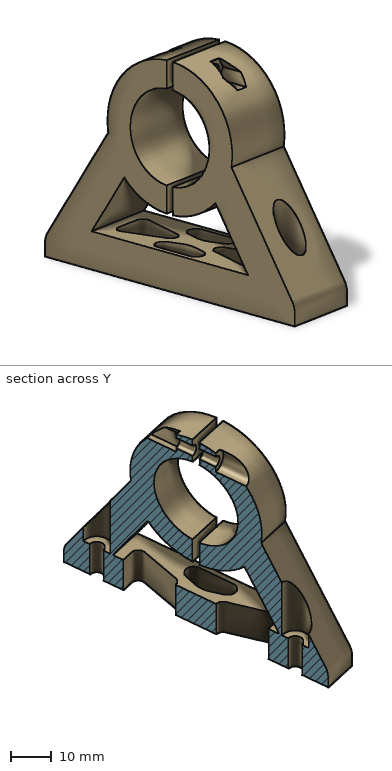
import cadquery as cq
import math

length = 80.0
depth = 20.0
base_thickness = 10.0
leg_thickness = 10.0

ring_radius = 20.0
bore_radius = 12.6
ring_center_z = 40.0
split_gap = 2.0

leg_foot_z = 5.1
leg_shoulder_z = 36.5
foot_fillet = 5.0

mount_spacing = 60.0
mount_diameter = 4.0
mount_head_diameter = 8.0
mount_seat_z = base_thickness

screw_z = 56.2
screw_diameter = 3.2
screw_head_diameter = 6.4
nut_across_flats = 5.5
seat_offset = 6.0

side_fillet = 2.0
middle_peak_fillet = 8.0
middle_corner_fillet = 2.3
middle_peak_y = 2.1
middle_base_y = 8.5
middle_half_length = 19.9
side_tip_x = 1.0
side_base_x = 21.9
side_half_width = 6.1

half_length = length / 2
leg_slope = (leg_shoulder_z - leg_foot_z) / (half_length - ring_radius)
leg_width_x = leg_thickness * math.hypot(1, leg_slope) / leg_slope


def leg_outer_x(z):
    """Half width of the frame between the outer leg faces at height z."""
    return half_length - (z - leg_foot_z) / leg_slope


def front_prism(points):
    """Prism through the full depth from an outline of (x, z) points."""
    return cq.Workplane("XZ").polyline(points).close().extrude(depth / 2, both=True)


def front_cylinder(radius):
    """Full-depth cylinder on the axis of the clamp ring."""
    return (
        cq.Workplane("XZ")
        .center(0, ring_center_z)
        .circle(radius)
        .extrude(depth / 2, both=True)
    )


def make_frame():
    """Triangular frame: base and two legs that end inside the clamp ring."""
    top_x = leg_outer_x(ring_center_z)
    outer = front_prism([
        (-half_length, 0),
        (half_length, 0),
        (half_length, leg_foot_z),
        (top_x, ring_center_z),
        (-top_x, ring_center_z),
        (-half_length, leg_foot_z),
    ])
    foot_edges = cq.selectors.BoxSelector(
        (-length, -depth, leg_foot_z / 2),
        (length, depth, leg_foot_z * 1.5),
    )
    outer = outer.edges("|Y").edges(foot_edges).fillet(foot_fillet)

    inner_bottom_x = leg_outer_x(base_thickness) - leg_width_x
    inner_top_x = top_x - leg_width_x
    opening = front_prism([
        (-inner_bottom_x, base_thickness),
        (inner_bottom_x, base_thickness),
        (inner_top_x, ring_center_z),
        (-inner_top_x, ring_center_z),
    ])
    return outer.cut(opening)


def split_slot():
    """Slot that parts the ring at its top and bottom, above the base."""
    ring_height = 2 * ring_radius
    return (
        cq.Workplane("XY")
        .box(split_gap, depth, ring_height)
        .translate((0, 0, ring_center_z))
    )


def mount_hole(x):
    """Vertical through hole with a counterbore that opens on the leg."""
    hole = cq.Workplane("XY").center(x, 0).circle(mount_diameter / 2).extrude(ring_center_z)
    head = (
        cq.Workplane("XY", origin=(0, 0, mount_seat_z))
        .center(x, 0)
        .circle(mount_head_diameter / 2)
        .extrude(ring_center_z - mount_seat_z)
    )
    return hole.union(head)


def screw_hole():
    """Cross hole with a round head recess at -X and a hexagon nut recess at +X."""
    hole = (
        cq.Workplane("YZ", origin=(0, 0, screw_z))
        .circle(screw_diameter / 2)
        .extrude(ring_radius, both=True)
    )
    head = (
        cq.Workplane("YZ", origin=(-seat_offset, 0, screw_z))
        .circle(screw_head_diameter / 2)
        .extrude(-ring_radius)
    )
    nut_across_corners = nut_across_flats / math.cos(math.pi / 6)
    nut = (
        cq.Workplane("YZ", origin=(seat_offset, 0, screw_z))
        .polygon(6, nut_across_corners)
        .extrude(ring_radius)
    )
    return hole.union(head).union(nut)


def middle_window(side):
    """Low triangular window beside the centre; side is -1 for -Y, 1 for +Y."""
    window = (
        cq.Workplane("XY")
        .polyline([
            (-middle_half_length, side * middle_base_y),
            (middle_half_length, side * middle_base_y),
            (0, side * middle_peak_y),
        ])
        .close()
        .extrude(base_thickness)
    )
    peak = ">Y" if side < 0 else "<Y"
    base = "<Y" if side < 0 else ">Y"
    window = window.edges("|Z").edges(peak).fillet(middle_peak_fillet)
    return window.edges("|Z").edges(base + " and (<X or >X)").fillet(middle_corner_fillet)


def side_window(side):
    """Long triangular window pointing at the centre; side is -1 for -X, 1 for +X."""
    return (
        cq.Workplane("XY")
        .polyline([
            (side * side_tip_x, 0),
            (side * side_base_x, side_half_width),
            (side * side_base_x, -side_half_width),
        ])
        .close()
        .extrude(base_thickness)
        .edges("|Z")
        .fillet(side_fillet)
    )


def make_bracket():
    """Clamp bracket: frame and ring with the split, holes and windows cut."""
    bracket = make_frame().union(front_cylinder(ring_radius))
    bracket = bracket.cut(front_cylinder(bore_radius)).cut(split_slot()).cut(screw_hole())
    for side in (-1, 1):
        bracket = bracket.cut(mount_hole(side * mount_spacing / 2))
        bracket = bracket.cut(middle_window(side))
        bracket = bracket.cut(side_window(side))
    return bracket


bracket = make_bracket()

result = cq.Compound.makeCompound([bracket.val()])